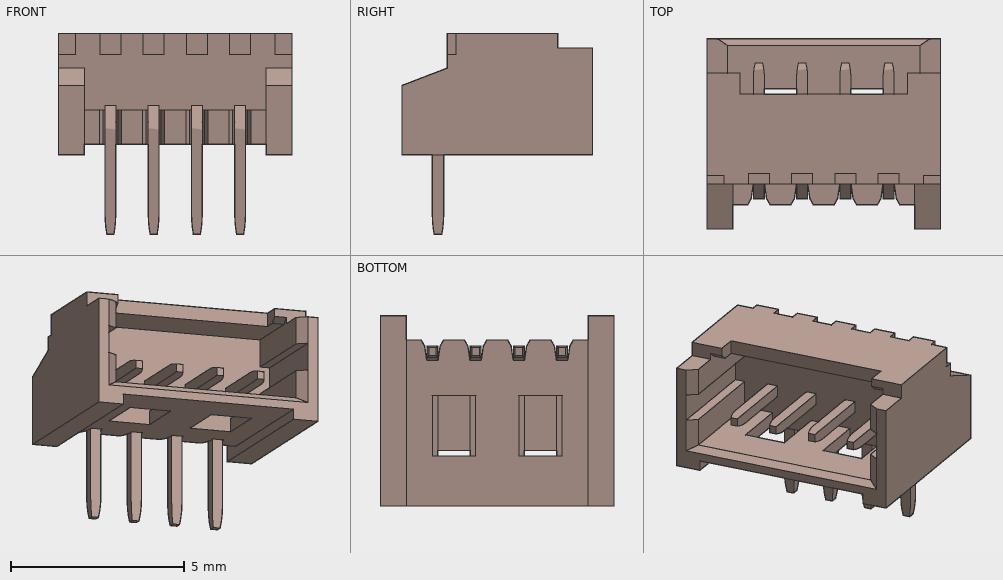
import cadquery as cq
import math


width = 6.75
body_depth = 4.2
height = 3.5
side_wall = 0.6
roof_thickness = 0.4
floor_thickness = roof_thickness
rear_wall = 1.0

roof_step_length = 1.0
roof_step_drop = 0.42
roof_cutout_width = 4.825
roof_cutout_depth = 1.6

arm_length = 1.3
arm_width = 0.75
arm_slope_start = 2.505
arm_slope_end = 2.005
channel_height = 0.3
channel_width = width - 2 * arm_width

cavity_floor = channel_height + floor_thickness
cavity_width = width - 2 * side_wall
cavity_ceiling = height - roof_thickness
cavity_height = cavity_ceiling - cavity_floor
lead_in_depth = 0.2
lead_in_side_spread = 0.3
lead_in_height_spread = 0.16
side_groove_height = 0.795
side_groove_depth = lead_in_side_spread
floor_slot_setback = 1.45

notch_width = 0.6
notch_height = 0.6
notch_depth = 0.3
corner_notch_width = 0.5
corner_notch_depth = 0.25

pin_count = 4
pitch = 1.25
pin_width = 0.32
pin_thickness = 0.34
pin_top = 1.57
pin_rear = -0.43
pin_setback = 0.7
pin_front = body_depth - pin_setback
pin_drop = 2.295
bend_radius = 0.95
leg_tip_length = 0.6
mating_tip_length = 0.4
tip_inset = 0.055

rib_depth = 0.6
rib_top = 1.29
rib_knee_depth = 0.42
rib_knee_flare = 0.06
rib_gap_flare = 0.16

pin_positions = [(i - (pin_count - 1) / 2) * pitch for i in range(pin_count)]


def block(x_range, y_range, z_range):
    """Box given by its lower and upper limits along each axis."""
    sizes = [high - low for low, high in (x_range, y_range, z_range)]
    corner = (x_range[0], y_range[0], z_range[0])
    return cq.Workplane("XY").box(*sizes, centered=False).translate(corner)


def centered_block(size_x, y_range, z_range):
    return block((-size_x / 2, size_x / 2), y_range, z_range)


def make_shell():
    """Body with its two sloping rear arms, before the cavity is cut."""
    outline = [
        (-arm_length, 0),
        (body_depth, 0),
        (body_depth, height - roof_step_drop),
        (body_depth - roof_step_length, height - roof_step_drop),
        (body_depth - roof_step_length, height),
        (0, height),
        (0, arm_slope_start),
        (-arm_length, arm_slope_end),
    ]
    shell = cq.Workplane("YZ").polyline(outline).close().extrude(width / 2, both=True)
    between_arms = centered_block(channel_width, (-arm_length, 0), (0, height))
    channel = centered_block(channel_width, (0, body_depth), (0, channel_height))
    return shell.cut(between_arms).cut(channel)


def lead_in(mouth_y, ceiling):
    """Tapered mouth, narrowing inwards from mouth_y to the section below ceiling."""
    section_height = ceiling - cavity_floor
    return (
        cq.Workplane("XZ", origin=(0, mouth_y, cavity_floor + section_height / 2))
        .rect(cavity_width + 2 * lead_in_side_spread, section_height + 2 * lead_in_height_spread)
        .workplane(offset=lead_in_depth)
        .rect(cavity_width, section_height)
        .loft()
    )


def cut_cavity(body):
    """Mating cavity with its lead-in slopes, the roof cutout and the side grooves."""
    roof_front = body_depth - roof_step_length
    inside = (rear_wall, body_depth)
    body = body.cut(centered_block(cavity_width, inside, (cavity_floor, cavity_ceiling)))

    body = body.cut(centered_block(cavity_width, (roof_front, body_depth), (cavity_floor, height)))
    body = body.cut(lead_in(body_depth, height))

    roof_lead_in = lead_in(roof_front, cavity_ceiling)
    above_cavity = centered_block(cavity_width, (0, body_depth), (cavity_ceiling, height))
    body = body.cut(roof_lead_in.intersect(above_cavity))
    cutout_y = (body_depth - roof_cutout_depth, body_depth)
    body = body.cut(centered_block(roof_cutout_width, cutout_y, (cavity_floor, height)))

    groove_bottom = cavity_floor + (cavity_height - side_groove_height) / 2
    groove_z = (groove_bottom, groove_bottom + side_groove_height)
    return body.cut(centered_block(cavity_width + 2 * side_groove_depth, inside, groove_z))


def cut_floor_slots(body):
    """One opening through the floor between each outer pair of pins."""
    slot_y = (rear_wall, body_depth - floor_slot_setback)
    for first, second in ((0, 1), (-2, -1)):
        slot_x = (pin_positions[first], pin_positions[second])
        body = body.cut(block(slot_x, slot_y, (0, cavity_floor)))
    return body


def cut_notches(body):
    """Notches in the top rear edge, one over each pin and one at each corner."""
    notch_z = (height - notch_height, height)
    for x in pin_positions:
        notch = centered_block(notch_width, (0, notch_depth), notch_z)
        body = body.cut(notch.translate((x, 0, 0)))
    corner_x = width / 2 - corner_notch_width
    for x_range in ((-width / 2, -corner_x), (corner_x, width / 2)):
        body = body.cut(block(x_range, (0, corner_notch_depth), notch_z))
    return body


def make_ribs():
    """Bar behind the rear wall, with a gap at each pin that flares out in two flat facets."""
    bar = centered_block(channel_width, (-rib_depth, 0), (channel_height, rib_top))
    half_width = pin_width / 2
    side = [
        (half_width, 0),
        (half_width + rib_knee_flare, -rib_knee_depth),
        (half_width + rib_gap_flare, -rib_depth),
    ]
    opposite_side = [(-x, y) for x, y in reversed(side)]
    gap = cq.Workplane("XY").polyline(side + opposite_side).close().extrude(rib_top)
    for x in pin_positions:
        bar = bar.cut(gap.translate((x, 0, 0)))
    return bar


def tip_profile(plane, across, length, depth):
    """Slab whose sides curve inwards from the full size at 0 to the tip at -length."""
    side = across / 2
    end = side - tip_inset
    middle = side - tip_inset / 4
    return (
        cq.Workplane(plane)
        .moveTo(-side, 0)
        .lineTo(side, 0)
        .threePointArc((middle, -length / 2), (end, -length))
        .lineTo(-end, -length)
        .threePointArc((-middle, -length / 2), (-side, 0))
        .close()
        .extrude(depth / 2, both=True)
    )


def make_tip(length):
    """Pin end that points down -Z and tapers on all four sides."""
    across_width = tip_profile("XZ", pin_width, length, pin_thickness)
    across_thickness = tip_profile("YZ", pin_thickness, length, pin_width)
    return across_width.intersect(across_thickness)


def make_pin():
    """Pin bent by a right angle, with the mating end along +Y and the leg along -Z."""
    leg_front = pin_rear + pin_thickness
    pin_bottom = pin_top - pin_thickness
    bend_y = pin_rear + bend_radius
    bend_z = pin_top - bend_radius
    inner_radius = bend_radius - pin_thickness
    diagonal = math.sqrt(0.5)
    leg_end = leg_tip_length - pin_drop
    mating_end = pin_front - mating_tip_length
    stem = (
        cq.Workplane("YZ")
        .moveTo(mating_end, pin_top)
        .lineTo(bend_y, pin_top)
        .threePointArc(
            (bend_y - bend_radius * diagonal, bend_z + bend_radius * diagonal),
            (pin_rear, bend_z),
        )
        .lineTo(pin_rear, leg_end)
        .lineTo(leg_front, leg_end)
        .lineTo(leg_front, bend_z)
        .threePointArc(
            (bend_y - inner_radius * diagonal, bend_z + inner_radius * diagonal),
            (bend_y, pin_bottom),
        )
        .lineTo(mating_end, pin_bottom)
        .close()
        .extrude(pin_width / 2, both=True)
    )
    leg_tip = make_tip(leg_tip_length).translate((0, pin_rear + pin_thickness / 2, leg_end))
    mating_tip = (
        make_tip(mating_tip_length)
        .rotate((0, 0, 0), (1, 0, 0), 90)
        .translate((0, mating_end, pin_top - pin_thickness / 2))
    )
    return stem.union(leg_tip).union(mating_tip)


result = cut_notches(cut_floor_slots(cut_cavity(make_shell()))).union(make_ribs())
pin = make_pin()
for pin_x in pin_positions:
    result = result.union(pin.translate((pin_x, 0, 0)))